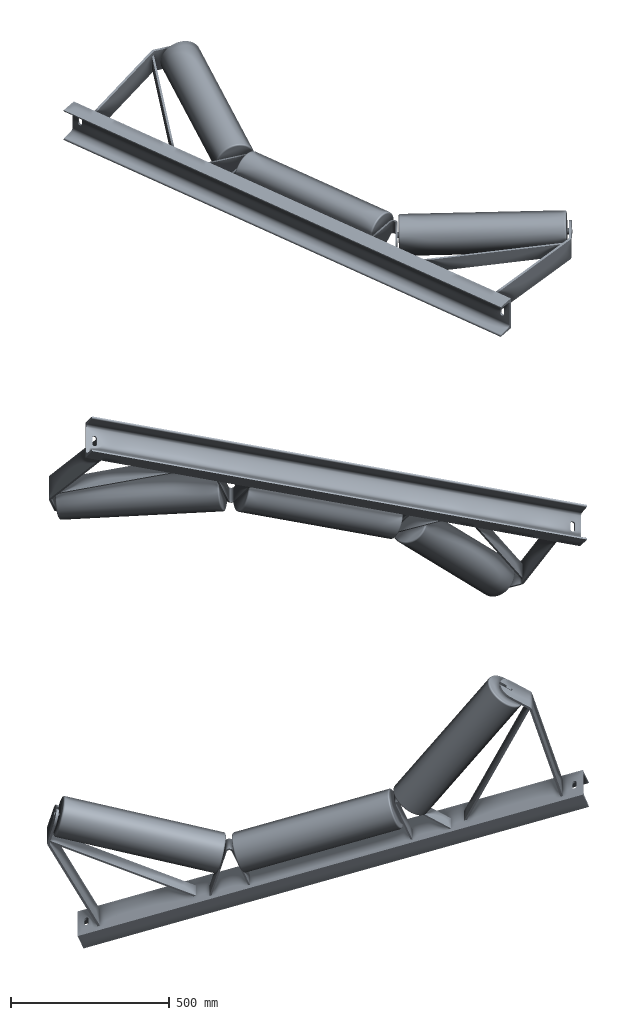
import cadquery as cq
import math

beam_length = 1700
beam_height = 120.0
flange_width = 55.0
web_thickness = 7.0
flange_thickness = 9.0
flange_slope = 0.08
root_radius = 9.0
tip_radius = 4.5
end_slot_width = 15.0
end_slot_height = 35.0
end_slot_inset = 29.0

drum_diameter = 133.0
drum_length = 530.0
drum_edge_radius = 5.0
spindle_diameter = 20.0
flat_width = 14.0
inner_gap = 5.0
outer_gap = 7.0
spindle_overhang = 2.0

centre_axis_y = 117.0
centre_axis_z = -20.0
wing_x = 535.0
wing_y = 287.0
wing_z = centre_axis_z / 2
wing_angle = 35
wing_tilt = math.degrees(math.asin(-centre_axis_z / drum_length))

inner_thickness = 6.0
outer_thickness = 8.0
strut_thickness = 7.0
inner_bend_radius = 8.0
outer_bend_radius = 12.0
inner_width = 50.0
outer_width = 80.0
strut_width = 50.0
outer_bend_drop = 87.0
outer_tip_rise = 32.0
outer_foot_x = 779.0
strut_foot_x = 455.0
strut_top_drop = 2.0

foot_depth = 34
cut_reach = 340

cos_wing = math.cos(math.radians(wing_angle))
sin_wing = math.sin(math.radians(wing_angle))
inner_offset = drum_length / 2 + inner_gap
outer_offset = drum_length / 2 + outer_gap


def wing_point(along, across):
    """Plan position given along the left wing axis from its middle, and across it."""
    return (
        -wing_x + along * cos_wing + across * sin_wing,
        wing_y - along * sin_wing + across * cos_wing,
    )


def place_in_wing(shape):
    """Move a shape built along X at the origin to the left wing roller's place."""
    tilted = shape.rotate((0, 0, 0), (0, 1, 0), wing_tilt)
    turned = tilted.rotate((0, 0, 0), (0, 0, 1), -wing_angle)
    return turned.translate((-wing_x, wing_y, wing_z))


def mirrored(shape):
    return shape.mirror("YZ")


def point_at_height(start, end, y):
    """Point on the line from start to end at the given Y."""
    part = (y - start[1]) / (end[1] - start[1])
    return (start[0] + part * (end[0] - start[0]), y)


def strip_outline(points, thickness):
    """Left and right sides of a flat bar that follows the points, mitred where it bends."""
    directions = []
    for (x0, y0), (x1, y1) in zip(points, points[1:]):
        length = math.hypot(x1 - x0, y1 - y0)
        directions.append(((x1 - x0) / length, (y1 - y0) / length))
    before = [directions[0]] + directions
    after = directions + [directions[-1]]
    left, right = [], []
    for (x, y), (ax, ay), (bx, by) in zip(points, before, after):
        reach = thickness / 2 / (1 + ax * bx + ay * by)
        dx = -(ay + by) * reach
        dy = (ax + bx) * reach
        left.append((x + dx, y + dy))
        right.append((x - dx, y - dy))
    return left, right


def make_strip(points, thickness, bottom, top, bend_radius=None):
    """Upright flat bar along the points in plan, a bend to the right rounded."""
    left, right = strip_outline(points, thickness)
    outline = left + right[::-1]
    strip = cq.Workplane("XY").workplane(offset=bottom).polyline(outline).close().extrude(top - bottom)
    if bend_radius is not None:
        middle = (bottom + top) / 2
        for corner, radius in ((left[1], bend_radius + thickness), (right[1], bend_radius)):
            bend_edge = cq.selectors.NearestToPointSelector((*corner, middle))
            strip = strip.edges("|Z").edges(bend_edge).fillet(radius)
    behind_web = cq.Workplane("XY").box(2 * beam_length, cut_reach, cut_reach)
    return strip.cut(behind_web.translate((0, -cut_reach / 2, 0)))


def make_beam():
    half_height = beam_height / 2
    half_taper = flange_slope * flange_width / 2
    tip_z = half_height - flange_thickness + half_taper
    root_z = tip_z - flange_slope * (flange_width - web_thickness)
    outline = [
        (0, -half_height),
        (0, half_height),
        (-flange_width, half_height),
        (-flange_width, tip_z),
        (-web_thickness, root_z),
        (-web_thickness, -root_z),
        (-flange_width, -tip_z),
        (-flange_width, -half_height),
    ]
    end_plane = cq.Workplane("YZ").workplane(offset=-beam_length / 2)
    beam = end_plane.polyline(outline).close().extrude(beam_length)
    for side in (-1, 1):
        for corner, radius in (
            ((0, -web_thickness, side * root_z), root_radius),
            ((0, -flange_width, side * tip_z), tip_radius),
        ):
            beam = beam.edges("|X").edges(cq.selectors.NearestToPointSelector(corner)).fillet(radius)
    slot_x = beam_length / 2 - end_slot_inset
    end_slots = (
        cq.Workplane("XZ")
        .pushPoints([(-slot_x, 0), (slot_x, 0)])
        .slot2D(end_slot_height, end_slot_width, 90)
        .extrude(flange_width, both=True)
    )
    return beam.cut(end_slots)


def make_roller(left_reach, right_reach):
    """Roller along X, drum centred on the origin; the reaches are how far the spindle passes each end."""
    drum = cq.Workplane("YZ").circle(drum_diameter / 2).extrude(drum_length)
    drum = drum.faces("<X or >X").edges().fillet(drum_edge_radius)
    spindle_length = left_reach + drum_length + right_reach
    spindle = cq.Workplane("YZ").circle(spindle_diameter / 2).extrude(spindle_length)
    flats = cq.Workplane("XY").box(2 * spindle_length, spindle_diameter, flat_width)
    spindle = spindle.intersect(flats).translate((-left_reach, 0, 0))
    return drum.union(spindle).translate((-drum_length / 2, 0, 0))


def make_inner_bracket(wing_roller, centre_roller):
    """Left bent plate that carries the inner end of a wing roller and one end of the centre roller."""
    middle = inner_offset + inner_thickness / 2
    upright_x = -middle
    foot = point_at_height(wing_point(middle, 0), wing_point(middle, 17), -foot_depth)
    rise = (upright_x - foot[0]) * cos_wing / sin_wing
    points = [foot, (upright_x, foot[1] + rise), (upright_x, -foot_depth)]
    bottom = centre_axis_z - inner_width / 2
    top = centre_axis_z + inner_width / 2
    plate = make_strip(points, inner_thickness, bottom, top, inner_bend_radius)
    return plate.cut(wing_roller).cut(centre_roller)


def outer_bend():
    return wing_point(-outer_offset - outer_thickness / 2, -outer_bend_drop)


def make_outer_bracket():
    """Left bent plate whose rounded upper leg holds a wing spindle in an open slot."""
    half = outer_width / 2
    tip_across = outer_tip_rise - half
    tip_centre = wing_point(-outer_offset - outer_thickness / 2, tip_across)
    bend = outer_bend()
    foot = point_at_height((-outer_foot_x, 0), bend, -foot_depth)
    plate = make_strip([foot, bend, tip_centre], outer_thickness, -half, half, outer_bend_radius)
    outer_face = wing_point(-outer_offset - outer_thickness, tip_across)
    round_tip = cq.Solid.makeCylinder(
        half, outer_thickness, cq.Vector(*outer_face, 0), cq.Vector(cos_wing, -sin_wing, 0)
    )
    return plate.union(cq.Workplane(round_tip)).cut(place_in_wing(make_spindle_slot()))


def make_spindle_slot():
    """Cutter along X for a slot that fits the flats, round below the spindle and open upward."""
    half_flat = flat_width / 2
    round_y = -math.sqrt((spindle_diameter / 2) ** 2 - half_flat**2)
    return (
        cq.Workplane("YZ")
        .workplane(offset=-cut_reach)
        .moveTo(cut_reach, half_flat)
        .lineTo(round_y, half_flat)
        .threePointArc((round_y - half_flat, 0), (round_y, -half_flat))
        .lineTo(cut_reach, -half_flat)
        .close()
        .extrude(cut_reach)
    )


def make_strut(outer_bracket):
    """Left diagonal flat bar from the beam to the outer bracket, just below its bend."""
    bend = outer_bend()
    top = point_at_height((-outer_foot_x, 0), bend, bend[1] - strut_top_drop)
    foot = point_at_height((-strut_foot_x, 0), top, -foot_depth)
    half = strut_width / 2
    bar = make_strip([foot, top], strut_thickness, -half, half)
    trimmed = bar.cut(outer_bracket)
    return cq.Workplane(trimmed.solids(">>X[-1]").val())


beam = make_beam()
inner_reach = inner_gap + inner_thickness
outer_reach = outer_gap + outer_thickness + spindle_overhang
centre_roller = make_roller(inner_reach, inner_reach).translate((0, centre_axis_y, centre_axis_z))
left_wing_roller = place_in_wing(make_roller(outer_reach, inner_reach))
left_inner_bracket = make_inner_bracket(left_wing_roller, centre_roller)
left_outer_bracket = make_outer_bracket()
left_strut = make_strut(left_outer_bracket)

bodies = [beam.val(), centre_roller.val()]
for left_body in (left_wing_roller, left_inner_bracket, left_outer_bracket, left_strut):
    bodies += [left_body.val(), mirrored(left_body).val()]

result = cq.Compound.makeCompound(bodies)